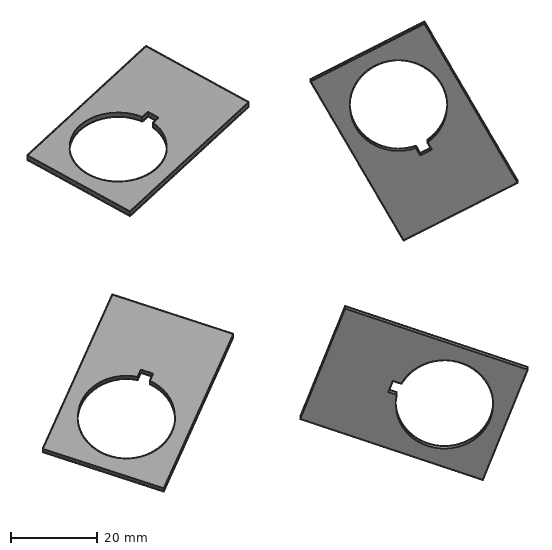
import cadquery as cq

plate_width = 30.0
plate_length = 45.0
plate_thickness = 1.5

hole_diameter = 22.5
hole_edge_distance = plate_width / 2
hole_y = hole_edge_distance - plate_length / 2

notch_width = 3.0
notch_reach = 13.25


def make_plate():
    return cq.Workplane("XY").box(
        plate_width, plate_length, plate_thickness, centered=(True, True, False)
    )


def make_keyed_hole():
    """Cutter for the round hole and its notch, through the full thickness."""
    hole = cq.Workplane("XY").center(0, hole_y).circle(hole_diameter / 2).extrude(plate_thickness)
    notch = (
        cq.Workplane("XY")
        .center(0, hole_y + notch_reach / 2)
        .rect(notch_width, notch_reach)
        .extrude(plate_thickness)
    )
    return hole.union(notch)


result = make_plate().cut(make_keyed_hole())